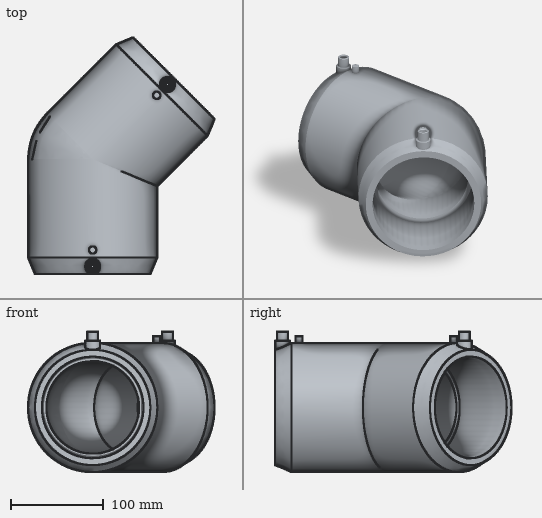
import cadquery as cq

bend_angle = 45.0
leg_length = 124.0
outer_radius = 140.0 / 2
end_radius = 62.5
taper_length = 18.2

bore_radius = 100.0 / 2
socket_radius = 110.0 / 2
socket_depth = 72.0

near_terminal_inset = 8.2
angled_terminal_inset = 9.7
collar_radius = 16.0 / 2
collar_top = 72.2
post_radius = 12.0 / 2
terminal_top = 82.5
terminal_chamfer = 0.5
collar_chamfer = 0.38
cup_radius = 8.0 / 2
cup_mouth_chamfer = 0.8
cup_depth = 8.2
contact_radius = 5.0 / 2
contact_recess = 3.0
contact_chamfer = 0.5

indicator_inset = 26.0
indicator_radius = 8.0 / 2
indicator_top = 77.3

wall_root = (socket_radius + end_radius) / 2


def revolve_leg(profile):
    """Revolve a (radius, distance from the bend) outline about the -Y leg axis."""
    points = [(radius, -distance) for radius, distance in profile]
    return cq.Workplane("XY").polyline(points).close().revolve(360, (0, 0), (0, 1))


def upright_cylinder(radius, bottom, top, inset):
    """Vertical cylinder above the -Y leg, set back from its open end."""
    base = cq.Workplane("XY", origin=(0, inset - leg_length, bottom))
    return base.circle(radius).extrude(top - bottom)


def on_angled_leg(shape):
    """Turn a -Y leg feature about the bend onto the angled leg."""
    return shape.rotate((0, 0, 0), (0, 0, 1), 180 - bend_angle)


def on_both_legs(shape):
    """Combine a -Y leg feature with its copy on the angled leg."""
    return shape.union(on_angled_leg(shape))


def make_outer_leg():
    return revolve_leg([
        (0, 0),
        (outer_radius, 0),
        (outer_radius, leg_length - taper_length),
        (end_radius, leg_length),
        (0, leg_length),
    ])


def make_bore_leg():
    socket_start = leg_length - socket_depth
    return revolve_leg([
        (0, 0),
        (bore_radius, 0),
        (bore_radius, socket_start),
        (socket_radius, socket_start),
        (socket_radius, leg_length),
        (0, leg_length),
    ])


def make_terminal(inset):
    collar = upright_cylinder(collar_radius, wall_root, collar_top, inset)
    collar = collar.faces(">Z").chamfer(collar_chamfer)
    post = upright_cylinder(post_radius, wall_root, terminal_top, inset)
    post = post.faces(">Z").chamfer(terminal_chamfer)
    cup_floor = terminal_top - cup_depth
    cup = upright_cylinder(cup_radius, cup_floor, terminal_top, inset)
    contact_top = terminal_top - contact_recess
    contact = upright_cylinder(contact_radius, wall_root, contact_top, inset)
    contact = contact.faces(">Z").chamfer(contact_chamfer)
    hollow_post = collar.union(post).cut(cup)
    cup_rim = cq.selectors.RadiusNthSelector(0)
    hollow_post = hollow_post.faces(">Z").edges(cup_rim).chamfer(cup_mouth_chamfer)
    return hollow_post.union(contact)


def make_indicator():
    return upright_cylinder(indicator_radius, wall_root, indicator_top, indicator_inset)


body = on_both_legs(make_outer_leg()).union(cq.Workplane("XY").sphere(outer_radius))
bore = on_both_legs(make_bore_leg()).union(cq.Workplane("XY").sphere(bore_radius))
near_terminal = make_terminal(near_terminal_inset)
angled_terminal = on_angled_leg(make_terminal(angled_terminal_inset))
fittings = on_both_legs(make_indicator()).union(near_terminal).union(angled_terminal)

result = body.cut(bore).union(fittings)